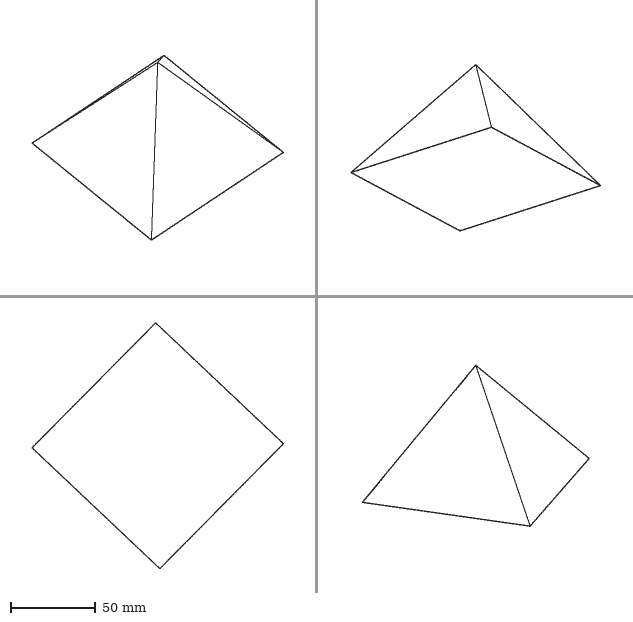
import cadquery as cq

base_side = 105.71
overall_height = 74.92
base_thickness = 0.2

pyramid_rise = overall_height - base_thickness


def flat_face(corners):
    """Planar face bounded by straight edges through the given corners."""
    return cq.Face.makeFromWires(cq.Wire.makePolygon(corners, close=True))


def square_pyramid(side, rise, base_z):
    """Pyramid on a square base at base_z, with its apex on the Z axis."""
    half = side / 2
    apex = cq.Vector(0, 0, base_z + rise)
    corners = [
        cq.Vector(-half, -half, base_z),
        cq.Vector(half, -half, base_z),
        cq.Vector(half, half, base_z),
        cq.Vector(-half, half, base_z),
    ]
    faces = [flat_face(corners)]
    for index, corner in enumerate(corners):
        next_corner = corners[(index + 1) % len(corners)]
        faces.append(flat_face([corner, next_corner, apex]))
    return cq.Solid.makeSolid(cq.Shell.makeShell(faces))


def base_plate(side, thickness):
    """Square plate resting on Z = 0."""
    return cq.Workplane("XY").rect(side, side).extrude(thickness)


pyramid = square_pyramid(base_side, pyramid_rise, base_thickness)
result = base_plate(base_side, base_thickness).union(cq.Workplane("XY").newObject([pyramid]))